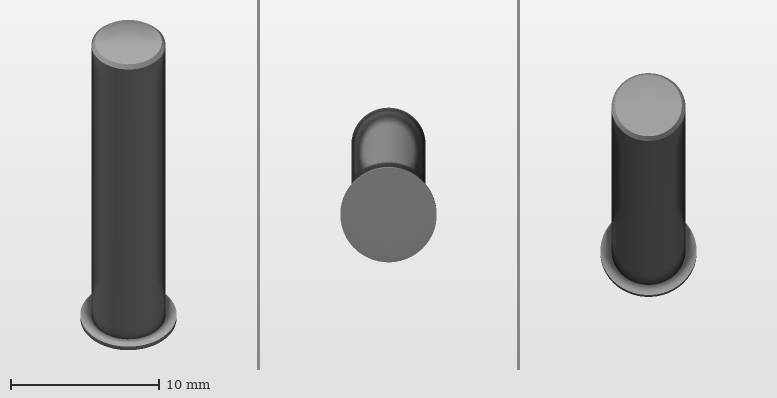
import cadquery as cq

total_length = 25.0
shank_diameter = 5.0
head_diameter = 6.5
head_thickness = 0.32
tip_chamfer = 0.25


def make_head():
    """Thin round flange at the base of the pin."""
    return cq.Workplane("XY").circle(head_diameter / 2).extrude(head_thickness)


def make_shank():
    """Cylindrical shank along Z with a chamfered upper end."""
    shank = cq.Workplane("XY").circle(shank_diameter / 2).extrude(total_length)
    return shank.faces(">Z").chamfer(tip_chamfer)


result = make_head().union(make_shank())